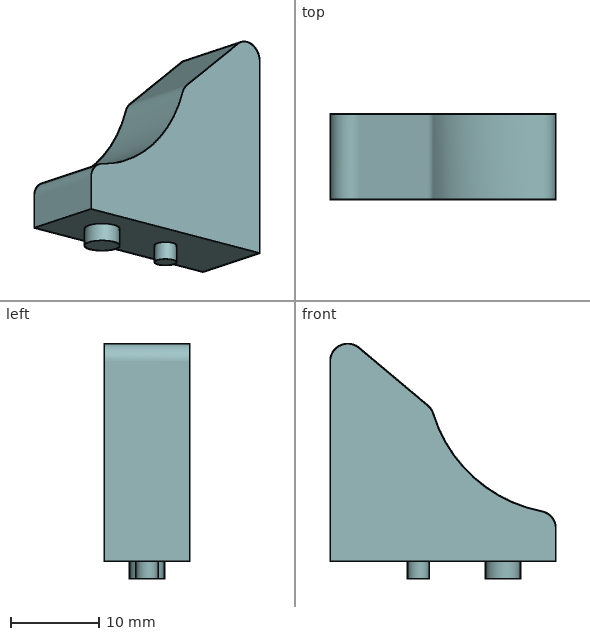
import cadquery as cq
import math

length = 25.65
width = 9.75
total_height = 26.73
pin_length = 2.0
body_height = total_height - pin_length

corner_radius = 2.0
slope_angle = math.radians(40)
scoop_radius = 16.05
scoop_x = 27.08
scoop_z = 21.45

pins = [(10.02, 2.5), (19.65, 4.0)]


def slope_height(x):
    """Height of the straight slope, tangent to the rounded top corner."""
    height_above_center = corner_radius / math.cos(slope_angle)
    drop = (x - corner_radius) * math.tan(slope_angle)
    return body_height - corner_radius + height_above_center - drop


def scoop_point(angle):
    """Point on the scoop circle at an angle measured from +X."""
    return (
        scoop_x + scoop_radius * math.cos(angle),
        scoop_z + scoop_radius * math.sin(angle),
    )


normal_x = math.sin(slope_angle)
normal_z = math.cos(slope_angle)
slope_distance = (slope_height(scoop_x) - scoop_z) * normal_z
normal_angle = math.atan2(normal_z, normal_x)
crest_angle = normal_angle + math.acos(slope_distance / scoop_radius)

toe_angle = 2 * math.pi - math.acos((length - scoop_x) / scoop_radius)

body = (
    cq.Workplane("XZ")
    .moveTo(0, 0)
    .lineTo(0, slope_height(0))
    .lineTo(*scoop_point(crest_angle))
    .threePointArc(scoop_point((crest_angle + toe_angle) / 2), scoop_point(toe_angle))
    .lineTo(length, 0)
    .close()
    .extrude(width / 2, both=True)
)

body = body.edges("|Y and (not <Z)").fillet(corner_radius)

result = body
for pin_x, pin_diameter in pins:
    pin = (
        cq.Workplane("XY")
        .center(pin_x, 0)
        .circle(pin_diameter / 2)
        .extrude(-pin_length)
    )
    result = result.union(pin)